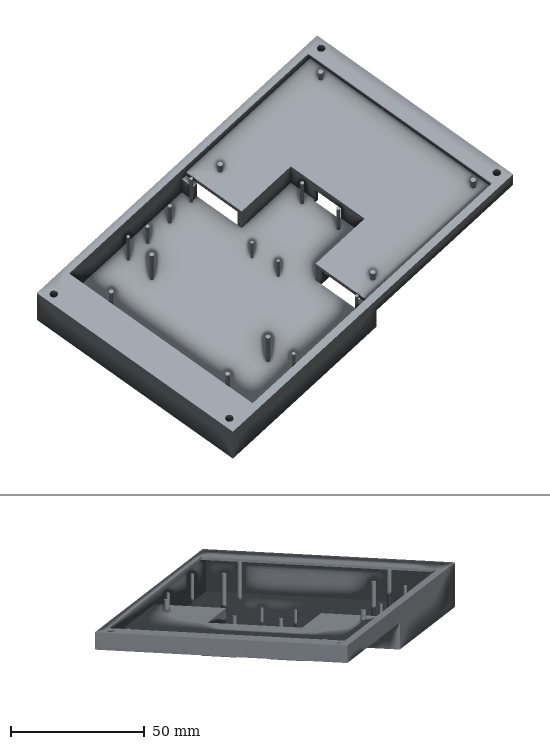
import cadquery as cq

width = 97.5
length = 158.7
height = 17.0
half_length = length / 2

lip_thickness = 1.0
floor_thickness = 2 * lip_thickness
neck_wall = floor_thickness
front_wall = 5.4
rear_wall = 7.1
side_wall = 2.7

shelf_underside = 10.3
shelf_top = shelf_underside + floor_thickness
shelf_edge_y = 2.0

opening_width = 91.1
opening_y_min = -64.6
opening_y_max = 70.8

neck_width = 36.7
neck_end_y = 29.8
neck_outer_width = neck_width + 2 * neck_wall

side_window_outer_x = 40.5
jamb_thickness = 2.4
neck_window_width = 13.0
neck_window_top = 8.3
neck_window_overcut = 0.55

hole_diameter = 3.2
hole_spacing_x = 87.3
hole_y_min = -75.5
hole_y_max = 75.9

shelf_pins = (2.0, 16.3, (-37.0, 38.9), (11.1, 68.0))
front_pins = (1.7, 17.0, (-28.3, 29.5), (-60.5, -37.6))
side_pins = (1.3, 16.3, (-40.6, 41.6), (-36.8, -1.1))
neck_end_pins = (1.5, 14.6, (-9.0, 8.9), (25.7,))
neck_mouth_pins = (1.2, 11.5, (-6.5, 6.5), (-5.5,))
left_pins = (1.5, 12.2, (-40.3,), (-26.2, -13.7))


def block(x_size, y_min, y_max, z_min, z_max):
    """Box centred on X between the given Y and Z limits."""
    return (
        cq.Workplane("XY")
        .box(x_size, y_max - y_min, z_max - z_min, centered=(True, False, False))
        .translate((0, y_min, z_min))
    )


def outer_body():
    upper = block(width, -half_length, half_length, shelf_underside, height)
    tray = block(width, -half_length, shelf_edge_y, 0, height)
    neck = block(neck_outer_width, 0, neck_end_y + neck_wall, 0, shelf_top)
    return upper.union(tray).union(neck)


def cavity():
    inner_width = width - 2 * side_wall
    inner_front = front_wall - half_length
    inner_rear = half_length - rear_wall
    lip_underside = height - lip_thickness
    above_shelf = block(inner_width, inner_front, inner_rear, shelf_top, lip_underside)
    jamb_front = shelf_edge_y - jamb_thickness
    tray = block(inner_width, inner_front, jamb_front, floor_thickness, lip_underside)
    neck = block(neck_width, inner_front, neck_end_y, floor_thickness, lip_underside)
    opening = block(opening_width, opening_y_min, opening_y_max, lip_underside, height)
    return above_shelf.union(tray).union(neck).union(opening)


def windows():
    """Openings under the shelf edge on both sides of the neck, and one through the neck end and floor."""
    mouth_y = shelf_edge_y - jamb_thickness
    span = block(2 * side_window_outer_x, mouth_y, shelf_edge_y, floor_thickness, shelf_top)
    neck_window = block(
        neck_window_width,
        neck_end_y - neck_window_overcut,
        neck_end_y + neck_wall,
        0,
        neck_window_top,
    )
    return span.union(neck_window)


def above_jambs():
    """Clearance over the window jambs, which stop level with the shelf underside."""
    return block(
        width - 2 * side_wall,
        shelf_edge_y - jamb_thickness,
        shelf_edge_y,
        shelf_underside,
        shelf_top,
    )


def screw_holes():
    half_spacing = hole_spacing_x / 2
    centres = [(x, y) for x in (-half_spacing, half_spacing) for y in (hole_y_min, hole_y_max)]
    return cq.Workplane("XY").pushPoints(centres).circle(hole_diameter / 2).extrude(height)


def pins(group, base_top):
    """Pins rooted halfway into the plate whose top face is at base_top."""
    diameter, pin_top, x_positions, y_positions = group
    root = base_top - floor_thickness / 2
    centres = [(x, y) for x in x_positions for y in y_positions]
    return (
        cq.Workplane("XY", origin=(0, 0, root))
        .pushPoints(centres)
        .circle(diameter / 2)
        .extrude(pin_top - root)
    )


result = outer_body().cut(cavity()).cut(windows()).cut(above_jambs()).cut(screw_holes())
result = result.union(pins(shelf_pins, shelf_top))
for floor_group in (front_pins, side_pins, neck_end_pins, neck_mouth_pins, left_pins):
    result = result.union(pins(floor_group, floor_thickness))